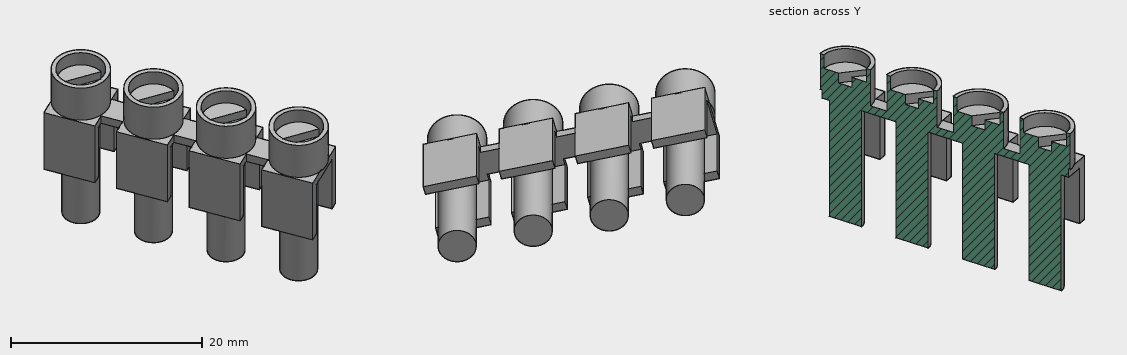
import cadquery as cq

screw_count = 4
total_length = 30.8
total_height = 19.6

head_diameter = 6.22
head_height = 4.4
cup_diameter = 5.2
cup_depth = 1.65
slot_width = 1.1
slot_depth = 1.2
slot_angle = 45
shaft_diameter = 4.0

saddle_length = 5.75
saddle_width = 6.4
saddle_height = 7.8
sheet_thickness = 1.02

bar_width = 2.9

pitch = (total_length - head_diameter) / (screw_count - 1)
row_span = pitch * (screw_count - 1)
shaft_length = total_height - head_height



def make_saddle():
    block = cq.Workplane("XY").box(saddle_length, saddle_width, saddle_height, centered=(True, True, False))
    channel_width = saddle_width - 2 * sheet_thickness
    channel_height = saddle_height - sheet_thickness
    channel = cq.Workplane("XY").box(saddle_length, channel_width, channel_height, centered=(True, True, False))
    return block.cut(channel).translate((0, 0, -saddle_height))


def make_screw():
    head = cq.Workplane("XY").circle(head_diameter / 2).extrude(head_height)
    shaft = cq.Workplane("XY").circle(shaft_diameter / 2).extrude(-shaft_length)
    cup = cq.Workplane("XY").workplane(offset=head_height).circle(cup_diameter / 2).extrude(-cup_depth)
    return head.union(shaft).cut(cup).cut(make_driver_slot())


def make_driver_slot():
    """Diagonal slot across the cup floor, ending at the cup wall."""
    slot_top = head_height - cup_depth
    strip = (
        cq.Workplane("XY")
        .workplane(offset=slot_top)
        .rect(cup_diameter, slot_width)
        .extrude(-slot_depth)
        .rotate((0, 0, 0), (0, 0, 1), slot_angle)
    )
    cup_core = cq.Workplane("XY").workplane(offset=slot_top).circle(cup_diameter / 2).extrude(-slot_depth)
    return strip.intersect(cup_core)


result = cq.Workplane("XY").rect(row_span, bar_width).extrude(-sheet_thickness)

terminal = make_saddle().union(make_screw())
for index in range(screw_count):
    result = result.union(terminal.translate((index * pitch - row_span / 2, 0, 0)))